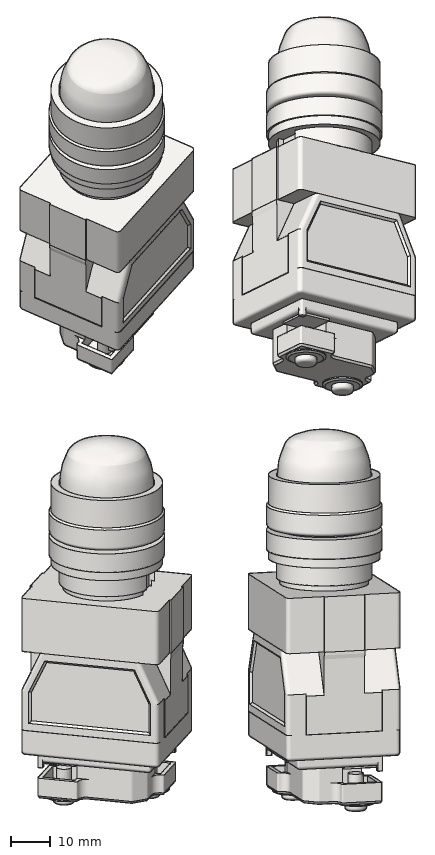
import cadquery as cq
import math

LENS_TOP = 95.55
CAP_EDGE_Z = 94.0
SHOULDER_Z = 92.0
BEZEL_TOP = 84.3
BEZEL_STEP_TOP = 77.0
BEZEL_STEP_BOTTOM = 76.5
BEZEL_BOTTOM = 71.0
RING_TOP = 70.2
RING_BOTTOM = 65.3
FLANGE_BOTTOM = 63.0
NECK_BOTTOM = 58.0
ADAPTER_TOP = 56.6
ADAPTER_BOTTOM = 42.4
SLOPE_BOTTOM = 31.9
SIDE_STEP_Z = 21.5
HOUSING_BOTTOM = 14.9
PLATE_BOTTOM = 11.9
LEDGE_BOTTOM = 11.4
FOOT_BOTTOM = 10.6
POST_TOP = 9.5
TERMINAL_TOP = 7.7
POCKET_FLOOR = 4.5
BLOCK_BOTTOM = 2.4
BOSS_BOTTOM = 1.7

CAP_EDGE_RADIUS = 7.7
SHOULDER_RADIUS = 9.9
LENS_RADIUS = 11.8
BORE_RADIUS = 12.0
BORE_DEPTH = 2.9
LENS_FOOT_HEIGHT = 1.9
BEZEL_RADIUS = 14.0
RING_RADIUS = 14.5
NECK_RADIUS = 12.0
GROOVE_RADIUS = 11.2
BEZEL_ROUND = 0.9
KEYWAY_WIDTH = 7.2
KEYWAY_FLOOR_Y = 10.0

BOX_WIDTH = 29.8
BOX_DEPTH = 36.1
CORNER_RADIUS = 1.05
STEM_WIDTH = 10.6
STEM_DEPTH = 37.0
CLIP_WIDTH = 19.9
CLIP_DEPTH = 36.6
STEM_TAPER_TOP = 41.6
STEM_TAPER_BOTTOM = 40.5
SLOPE_TOP_Y = 13.1
SIDE_STEP = 0.1
BOTTOM_ROUND = 0.8
WINDOW_BOTTOM = 23.5
WINDOW_SHOULDER_Z = 31.8
WINDOW_TOP = 40.5
WINDOW_HALF_WIDTH = 16.0
WINDOW_TOP_HALF_WIDTH = 11.8
WINDOW_DEPTH = 0.6
WINDOW_TAPER = 45

PLATE_WIDTH = 22.3
PLATE_DEPTH = 29.7
PLATE_CORNER = 0.5
PLATE_ROUND = 0.9
FOOT_SIZE = 1.3
CORE_WIDTH = 16.4
CORE_DEPTH = 24.65
CORE_CHAMFER = 3.25
CORE_EDGE_ROUND = 1.0
TERMINAL_X = 10.9
TERMINAL_Y = 14.9
TERMINAL_START_X = 0.4
TERMINAL_START_Y = 4.4
TERMINAL_CORNER = 0.43
TERMINAL_BLEND = 2.1
WALL = 1.1
RECESS_X = 1.2
RECESS_Y = 5.35
SCREW_X = (RECESS_X + TERMINAL_X - WALL) / 2
SCREW_Y = (RECESS_Y + TERMINAL_Y - WALL) / 2
POST_RADIUS = 1.9
BLOCK_CHAMFER_WIDTH = 0.4
BLOCK_CHAMFER_HEIGHT = 0.62
BOSS_RADIUS = 5.1
BOSS_CHAMFER = 0.7
HEAD_RADIUS = 2.8
HEAD_ROUND = 0.9


def box(width, depth, bottom, top):
    """Block centred on the Z axis between two levels."""
    return cq.Workplane("XY").workplane(offset=bottom).rect(width, depth).extrude(top - bottom)


def box_between(x0, x1, y0, y1, bottom, top):
    """Block between two corners and two levels."""
    centre = ((x0 + x1) / 2, (y0 + y1) / 2)
    plane = cq.Workplane("XY").workplane(offset=bottom)
    return plane.center(*centre).rect(x1 - x0, y1 - y0).extrude(top - bottom)


def disc(radius, bottom, top, x=0, y=0):
    """Upright cylinder between two levels."""
    return cq.Workplane("XY").workplane(offset=bottom).center(x, y).circle(radius).extrude(top - bottom)


def half_turn(shape):
    """Copy of a shape turned 180 degrees about the Z axis."""
    return shape.rotate((0, 0, 0), (0, 0, 1), 180)


def make_lens():
    cap_rise = LENS_TOP - CAP_EDGE_Z
    cap_radius = (CAP_EDGE_RADIUS**2 + cap_rise**2) / (2 * cap_rise)
    cap_half_angle = math.asin(CAP_EDGE_RADIUS / cap_radius) / 2
    cap_mid = (cap_radius * math.sin(cap_half_angle),
               LENS_TOP - cap_radius * (1 - math.cos(cap_half_angle)))
    foot_bottom = BEZEL_TOP - BORE_DEPTH
    foot_top = foot_bottom + LENS_FOOT_HEIGHT
    profile = (
        cq.Workplane("XZ")
        .moveTo(0, foot_bottom)
        .lineTo(0, LENS_TOP)
        .threePointArc(cap_mid, (CAP_EDGE_RADIUS, CAP_EDGE_Z))
        .tangentArcPoint((SHOULDER_RADIUS, SHOULDER_Z), relative=False)
        .tangentArcPoint((LENS_RADIUS, BEZEL_TOP), relative=False)
        .lineTo(LENS_RADIUS, foot_top)
        .lineTo(BORE_RADIUS, foot_top)
        .lineTo(BORE_RADIUS, foot_bottom)
        .close()
    )
    return profile.revolve(360, (0, 0, 0), (0, 1, 0))


def make_operator():
    bezel = disc(RING_RADIUS, BEZEL_BOTTOM, BEZEL_STEP_TOP)
    bezel = bezel.faces(">Z").chamfer(BEZEL_STEP_TOP - BEZEL_STEP_BOTTOM)
    bezel = bezel.faces("<Z").edges().fillet(BEZEL_ROUND)
    bezel = bezel.union(disc(BEZEL_RADIUS, BEZEL_STEP_BOTTOM, BEZEL_TOP))
    bezel = bezel.cut(disc(BORE_RADIUS, BEZEL_TOP - BORE_DEPTH, BEZEL_TOP))
    sleeve = disc(GROOVE_RADIUS, ADAPTER_TOP, BEZEL_BOTTOM)
    ring = disc(RING_RADIUS, RING_BOTTOM, RING_TOP)
    flange = disc(BEZEL_RADIUS, FLANGE_BOTTOM, RING_BOTTOM)
    neck = disc(NECK_RADIUS, NECK_BOTTOM, FLANGE_BOTTOM)
    half_key = KEYWAY_WIDTH / 2
    keyway = box_between(-half_key, half_key, KEYWAY_FLOOR_Y, NECK_RADIUS, ADAPTER_TOP, FLANGE_BOTTOM)
    return bezel.union(sleeve).union(ring).union(flange).union(neck).cut(keyway)


def make_adapter():
    body = box(BOX_WIDTH, BOX_DEPTH, ADAPTER_BOTTOM, ADAPTER_TOP).edges("|Z").fillet(CORNER_RADIUS)
    return body.union(box(STEM_WIDTH, STEM_DEPTH, ADAPTER_BOTTOM, ADAPTER_TOP))


def sloped_section(half_depth, width, bottom):
    """Prism along X whose upper flanks lean inward."""
    lean = (BOX_DEPTH / 2 - SLOPE_TOP_Y) / (ADAPTER_BOTTOM - SLOPE_BOTTOM)
    flank_bottom = SLOPE_BOTTOM - (half_depth - BOX_DEPTH / 2) / lean
    right = [(half_depth, bottom), (half_depth, flank_bottom), (SLOPE_TOP_Y, ADAPTER_BOTTOM)]
    left = [(-y, z) for y, z in reversed(right)]
    return cq.Workplane("YZ").polyline(right + left).close().extrude(width / 2, both=True)


def clip_stem():
    """Upright tongue across the housing, slightly thicker at its top."""
    half_top = STEM_DEPTH / 2
    half = CLIP_DEPTH / 2
    right = [(half, SIDE_STEP_Z), (half, STEM_TAPER_BOTTOM), (half_top, STEM_TAPER_TOP), (half_top, ADAPTER_BOTTOM)]
    left = [(-y, z) for y, z in reversed(right)]
    return cq.Workplane("YZ").polyline(right + left).close().extrude(STEM_WIDTH / 2, both=True)


def side_window():
    """Tapered recess in the -X side."""
    right = [
        (WINDOW_HALF_WIDTH, WINDOW_BOTTOM),
        (WINDOW_HALF_WIDTH, WINDOW_SHOULDER_Z),
        (WINDOW_TOP_HALF_WIDTH, WINDOW_TOP),
    ]
    left = [(-y, z) for y, z in reversed(right)]
    plane = cq.Workplane("YZ").workplane(offset=-BOX_WIDTH / 2)
    return plane.polyline(right + left).close().extrude(WINDOW_DEPTH, taper=WINDOW_TAPER)


def make_housing():
    upper = sloped_section(BOX_DEPTH / 2, BOX_WIDTH, SIDE_STEP_Z)
    upper = upper.faces("<X or >X").edges("not |Y").fillet(CORNER_RADIUS)
    lower = box(BOX_WIDTH - 2 * SIDE_STEP, BOX_DEPTH, HOUSING_BOTTOM, SIDE_STEP_Z)
    lower = lower.edges("|Z").fillet(CORNER_RADIUS)
    lower = lower.faces("<Z").edges().fillet(BOTTOM_ROUND)
    clip = sloped_section(CLIP_DEPTH / 2, CLIP_WIDTH, SIDE_STEP_Z)
    window = side_window()
    body = upper.union(lower).union(clip).union(clip_stem())
    return body.cut(window).cut(half_turn(window))


def base_plate():
    """Plate under the housing, with a foot and a ledge at two opposite corners."""
    plate = box(PLATE_WIDTH, PLATE_DEPTH, PLATE_BOTTOM, HOUSING_BOTTOM)
    plate = plate.faces("<Z").edges().fillet(PLATE_ROUND)
    plate = plate.edges("|Z").fillet(PLATE_CORNER)
    corner_column = box_between(
        PLATE_WIDTH / 2 - FOOT_SIZE, PLATE_WIDTH / 2,
        -PLATE_DEPTH / 2, -PLATE_DEPTH / 2 + FOOT_SIZE,
        FOOT_BOTTOM, HOUSING_BOTTOM,
    ).edges("|Z and >X and <Y").fillet(PLATE_CORNER)
    ledge = box_between(
        RECESS_X, PLATE_WIDTH / 2 - FOOT_SIZE,
        -PLATE_DEPTH / 2 + FOOT_SIZE, -RECESS_Y,
        LEDGE_BOTTOM, HOUSING_BOTTOM,
    )
    for corner in (ledge, corner_column):
        plate = plate.union(corner).union(half_turn(corner))
    return plate


def with_half_turns(points):
    """The given plan points followed by their copies turned 180 degrees about the Z axis."""
    return points + [(-x, -y) for x, y in points]


def round_uprights(shape, points, radius):
    """Round the upright edges at the given plan points and at their half-turn copies."""
    level = (BLOCK_BOTTOM + TERMINAL_TOP) / 2
    for x, y in with_half_turns(points):
        shape = shape.edges(cq.selectors.NearestToPointSelector((x, y, level))).fillet(radius)
    return shape


def block_core(top):
    """Middle of the block, with the corners at -X, -Y and +X, +Y cut off."""
    half_x = CORE_WIDTH / 2
    half_y = CORE_DEPTH / 2
    outline = with_half_turns([
        (-half_x, half_y),
        (-half_x, -half_y + CORE_CHAMFER),
        (-half_x + CORE_CHAMFER, -half_y),
    ])
    core = cq.Workplane("XY").workplane(offset=BLOCK_BOTTOM).polyline(outline).close()
    core = core.extrude(top - BLOCK_BOTTOM)
    return round_uprights(core, outline[1:3], CORE_EDGE_ROUND)


def block_body():
    """Core with a terminal shoulder around each of its two uncut corners."""
    terminal = box_between(
        TERMINAL_START_X, TERMINAL_X, -TERMINAL_Y, -TERMINAL_START_Y, BLOCK_BOTTOM, TERMINAL_TOP)
    body = block_core(TERMINAL_TOP).union(terminal).union(half_turn(terminal))
    core_meets_terminal = [(TERMINAL_START_X, -CORE_DEPTH / 2), (CORE_WIDTH / 2, -TERMINAL_START_Y)]
    terminal_corners = [
        (TERMINAL_START_X, -TERMINAL_Y),
        (TERMINAL_X, -TERMINAL_Y),
        (TERMINAL_X, -TERMINAL_START_Y),
    ]
    body = round_uprights(body, core_meets_terminal, TERMINAL_BLEND)
    body = round_uprights(body, terminal_corners, TERMINAL_CORNER)
    body = body.faces("<Z").edges().chamfer(BLOCK_CHAMFER_WIDTH, BLOCK_CHAMFER_HEIGHT)
    upper_core = block_core(PLATE_BOTTOM).intersect(box(CORE_WIDTH, CORE_DEPTH, TERMINAL_TOP, PLATE_BOTTOM))
    return body.union(upper_core)


def terminal_pocket():
    """Recess in the core corner above the terminal, and the well between the terminal walls."""
    recess = box_between(RECESS_X, TERMINAL_X, -TERMINAL_Y, -RECESS_Y, TERMINAL_TOP, PLATE_BOTTOM)
    well = box_between(
        RECESS_X, TERMINAL_X - WALL, -TERMINAL_Y + WALL, -RECESS_Y, POCKET_FLOOR, TERMINAL_TOP)
    return recess.union(well)


def terminal_screw():
    """Post above the pocket floor, round boss under the block and rounded screw head."""
    post = disc(POST_RADIUS, POCKET_FLOOR, POST_TOP, SCREW_X, -SCREW_Y)
    boss = disc(BOSS_RADIUS, BOSS_BOTTOM, BLOCK_BOTTOM, SCREW_X, -SCREW_Y)
    boss = boss.faces("<Z").edges().chamfer(BOSS_CHAMFER / 2, BOSS_CHAMFER)
    head = disc(HEAD_RADIUS, 0, BOSS_BOTTOM, SCREW_X, -SCREW_Y).faces("<Z").edges().fillet(HEAD_ROUND)
    return post.union(boss).union(head)


def make_terminal_block():
    block = block_body()
    for turn in (0, 180):
        pocket = terminal_pocket().rotate((0, 0, 0), (0, 0, 1), turn)
        screw = terminal_screw().rotate((0, 0, 0), (0, 0, 1), turn)
        block = block.cut(pocket).union(screw)
    return base_plate().union(block)


lens = make_lens()
operator = make_operator()
adapter = make_adapter()
housing = make_housing()
terminal_block = make_terminal_block()

result = cq.Compound.makeCompound([
    lens.val(),
    operator.val(),
    adapter.val(),
    housing.val(),
    terminal_block.val(),
])